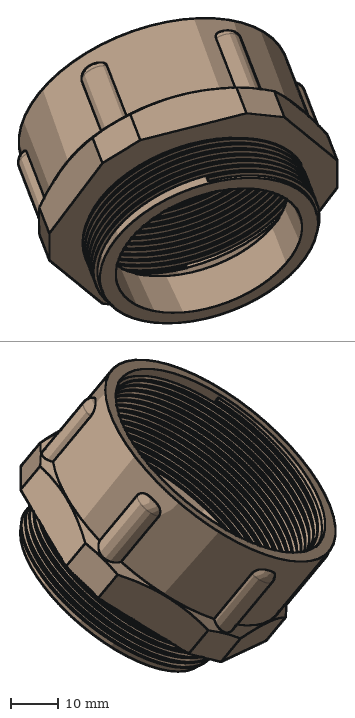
import cadquery as cq
import math

total_length = 39.0
nut_start = 19.2
nut_end = 28.0

sleeve_diameter = 59.75
rib_count = 6
rib_radius = 3.65
rib_axis_radius = 28.0
rib_start = 3.55
rib_end = 22.0
rib_fillet = 2.0

nut_across_flats = 60.0
nut_across_trimmed_corners = 63.7
nut_chamfer_angle = 54.0

socket_diameter = 54.32
socket_depth = 23.0
taper_end = 29.0
outlet_diameter = 41.2

spigot_diameter = 48.26

thread_pitch = 1.5
thread_height = 0.75
thread_root_width = 1.15
thread_crest_width = 0.28
thread_root_overlap = 0.1
spigot_thread_end = 37.9
spigot_thread_turns = 6.2
spigot_thread_end_angle = 90.0
socket_thread_start = 1.3
socket_thread_turns = 14.5
socket_thread_start_angle = 90.0


def cylinder(diameter, start, end):
    """Solid cylinder on the X axis between two X positions."""
    return cq.Workplane("YZ", origin=(start, 0, 0)).circle(diameter / 2).extrude(end - start)


def hexagon(across_flats, turn):
    """Hexagonal prism over the length of the nut."""
    across_corners = across_flats / math.cos(math.pi / 6)
    prism = cq.Workplane("YZ", origin=(nut_start, 0, 0)).polygon(6, across_corners).extrude(nut_end - nut_start)
    return prism.rotate((0, 0, 0), (1, 0, 0), turn)


def make_nut():
    """Hexagon with trimmed corners and a conical chamfer on the sleeve side."""
    nut = hexagon(nut_across_flats, 0).intersect(hexagon(nut_across_trimmed_corners, 30))
    small_radius = sleeve_diameter / 2
    large_radius = nut_across_flats / math.sqrt(3)
    chamfer_length = (large_radius - small_radius) / math.tan(math.radians(nut_chamfer_angle))
    envelope = (
        cq.Workplane("XY")
        .moveTo(nut_start, 0)
        .lineTo(nut_start, small_radius)
        .lineTo(nut_start + chamfer_length, large_radius)
        .lineTo(nut_end, large_radius)
        .lineTo(nut_end, 0)
        .close()
        .revolve(360, (0, 0, 0), (1, 0, 0))
    )
    return nut.intersect(envelope)


def make_rib(angle):
    """Round rib along the sleeve with a rounded free end."""
    rib = (
        cq.Workplane("YZ", origin=(rib_start, 0, 0))
        .center(rib_axis_radius, 0)
        .circle(rib_radius)
        .extrude(rib_end - rib_start)
        .faces("<X")
        .edges()
        .fillet(rib_fillet)
    )
    return rib.rotate((0, 0, 0), (1, 0, 0), angle)


def make_bore():
    """Socket, conical step down and outlet, as one solid to cut away."""
    socket_radius = socket_diameter / 2
    outlet_radius = outlet_diameter / 2
    return (
        cq.Workplane("XY")
        .lineTo(0, socket_radius)
        .lineTo(socket_depth, socket_radius)
        .lineTo(taper_end, outlet_radius)
        .lineTo(total_length, outlet_radius)
        .lineTo(total_length, 0)
        .close()
        .revolve(360, (0, 0, 0), (1, 0, 0))
    )


def make_thread(wall_radius, outward, start, turns, start_angle):
    """Helical ridge on a cylindrical wall; outward is 1 for an outside thread and -1 for an inside one."""
    foot_radius = wall_radius - outward * thread_root_overlap
    crest_radius = wall_radius + outward * thread_height
    helix = cq.Wire.makeHelix(thread_pitch, thread_pitch * turns, wall_radius)
    ridge = (
        cq.Workplane("XZ")
        .moveTo(foot_radius, -thread_root_width / 2)
        .lineTo(crest_radius, -thread_crest_width / 2)
        .lineTo(crest_radius, thread_crest_width / 2)
        .lineTo(foot_radius, thread_root_width / 2)
        .close()
        .sweep(cq.Workplane(helix), isFrenet=True)
    )
    ridge = ridge.rotate((0, 0, 0), (0, 0, 1), 90).rotate((0, 0, 0), (0, 1, 0), 90)
    return ridge.rotate((0, 0, 0), (1, 0, 0), start_angle).translate((start, 0, 0))


body = cylinder(sleeve_diameter, 0, nut_start)
body = body.union(make_nut())
body = body.union(cylinder(spigot_diameter, nut_end, total_length))
for index in range(rib_count):
    body = body.union(make_rib(index * 360 / rib_count))
body = body.cut(make_bore())

spigot_thread = make_thread(
    spigot_diameter / 2,
    1,
    spigot_thread_end - thread_pitch * spigot_thread_turns,
    spigot_thread_turns,
    spigot_thread_end_angle - 360 * spigot_thread_turns,
)
socket_thread = make_thread(
    socket_diameter / 2,
    -1,
    socket_thread_start,
    socket_thread_turns,
    socket_thread_start_angle,
)

result = body.union(spigot_thread).union(socket_thread)